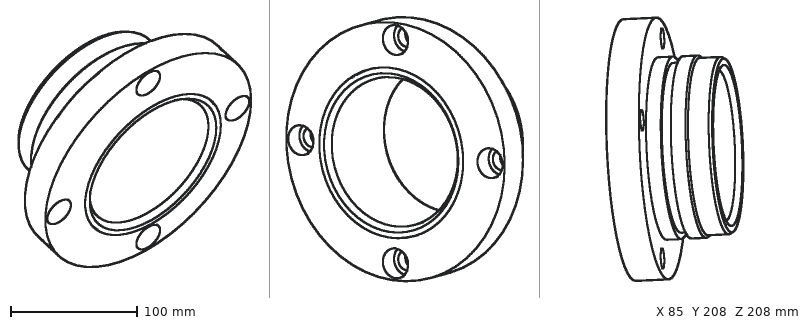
import cadquery as cq

total_length = 85.0
nose_chamfer_end = 2.5
nose_end = 19.1
collar_start = 20.8
groove_start = 32.7
groove_end = 40.8
flange_start = 52.6
flange_end = 79.0

flange_diameter = 208.0
collar_diameter = 145.0
nose_diameter = 141.0
nose_tip_diameter = 138.1
groove_diameter = 135.0
spigot_diameter = 137.0
bore_diameter = 120.0

bore_mouth_diameter = 128.0
bore_mouth_depth = 5.0

root_fillet = 2.5

bolt_hole_diameter = 16.0
counterbore_diameter = 24.0
counterbore_depth = 16.0
bolt_circle_diameter = 180.1
bolt_count = 4


def radial_profile():
    """Half section of the turned body: local x is the axis, local y the radius."""
    return (
        cq.Workplane("XY")
        .moveTo(0, bore_mouth_diameter / 2)
        .lineTo(0, nose_tip_diameter / 2)
        .lineTo(nose_chamfer_end, nose_diameter / 2)
        .lineTo(nose_end, nose_diameter / 2)
        .lineTo(collar_start, collar_diameter / 2)
        .lineTo(groove_start, collar_diameter / 2)
        .lineTo(groove_start, groove_diameter / 2)
        .lineTo(groove_end, groove_diameter / 2)
        .lineTo(groove_end, collar_diameter / 2)
        .lineTo(flange_start, collar_diameter / 2)
        .lineTo(flange_start, flange_diameter / 2)
        .lineTo(flange_end, flange_diameter / 2)
        .lineTo(flange_end, spigot_diameter / 2 + root_fillet)
        .radiusArc((flange_end + root_fillet, spigot_diameter / 2), -root_fillet)
        .lineTo(total_length, spigot_diameter / 2)
        .lineTo(total_length, bore_mouth_diameter / 2)
        .lineTo(total_length - bore_mouth_depth, bore_diameter / 2)
        .lineTo(bore_mouth_depth, bore_diameter / 2)
        .close()
    )


def hole_ring(diameter, x_start):
    """Ring of cylinders on the bolt circle, from x_start to the spigot face of the flange."""
    return (
        cq.Workplane("YZ")
        .workplane(offset=x_start)
        .polarArray(bolt_circle_diameter / 2, 0, 360, bolt_count)
        .circle(diameter / 2)
        .extrude(flange_end - x_start)
    )


body = radial_profile().revolve(360, (0, 0, 0), (1, 0, 0))
bolt_holes = hole_ring(bolt_hole_diameter, flange_start)
counterbores = hole_ring(counterbore_diameter, flange_end - counterbore_depth)
result = body.cut(bolt_holes).cut(counterbores)